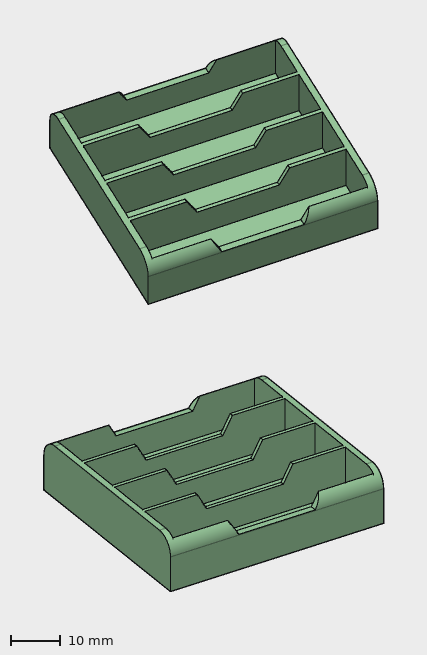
import cadquery as cq

width = 47.5
length = 50.5
height = 12.2
edge_radius = 4.15

compartment_count = 4
wall = 1.5
rib = 0.85
floor = 1.7
compartment_length = length - 2 * wall
compartment_width = (width - 2 * wall - (compartment_count - 1) * rib) / compartment_count
compartment_pitch = compartment_width + rib

notch_top_length = 22.6
notch_bottom_length = 18.1
notch_depth = 4.0


def make_body():
    """Block with its two long upper edges rounded."""
    block = cq.Workplane("XY").box(width, length, height, centered=(True, True, False))
    return block.edges("|Y and >Z").fillet(edge_radius)


def make_compartments():
    """Rectangular pockets, open at the top, in a row along X."""
    return (
        cq.Workplane("XY", origin=(0, 0, floor))
        .rarray(compartment_pitch, 0.5, compartment_count, 1)
        .rect(compartment_width, compartment_length)
        .extrude(height - floor)
    )


def make_notch():
    """Trapezoidal channel along X, wider at the top."""
    bottom = height - notch_depth
    return (
        cq.Workplane("YZ")
        .moveTo(-notch_bottom_length / 2, bottom)
        .lineTo(notch_bottom_length / 2, bottom)
        .lineTo(notch_top_length / 2, height)
        .lineTo(-notch_top_length / 2, height)
        .close()
        .extrude(width / 2, both=True)
    )


result = make_body().cut(make_compartments()).cut(make_notch())